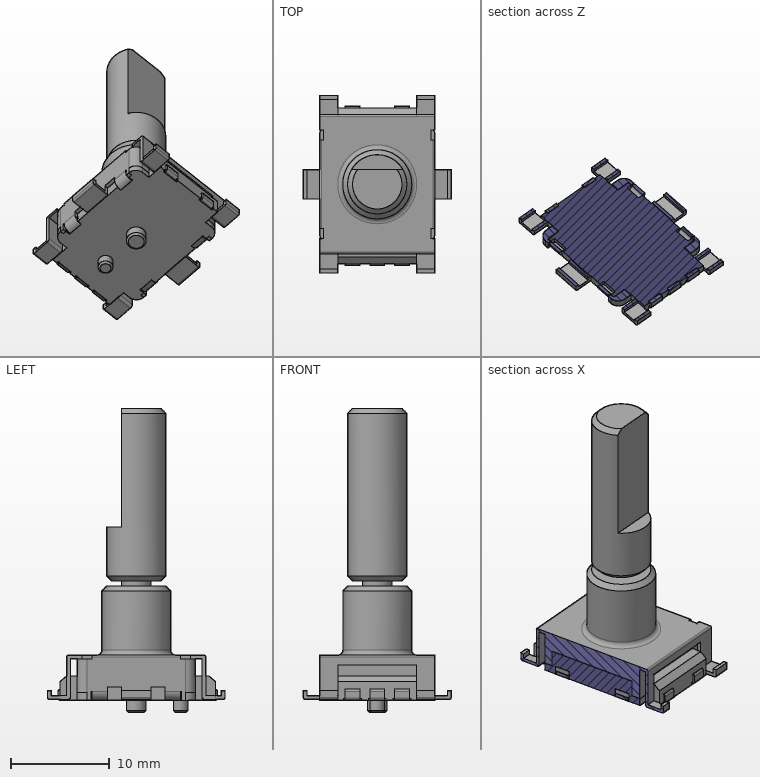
import cadquery as cq
housing_top = 4.6
bushing_top = 11.6
shaft_top = 29.6
sheet = 0.4
plate_underside = housing_top - sheet

shaft_diameter = 6.0
shaft_bottom = 12.1
shaft_chamfer = 0.5
flat_length = 12.0
flat_offset = 1.5
neck_diameter = 3.0
neck_bottom = plate_underside

housing_width = 11.7
housing_length = 14.1
half_width = housing_width / 2
half_length = housing_length / 2
fold_radius = 0.2
bend_radius = 0.3
bushing_diameter = 7.0
bushing_chamfer = 0.5
bushing_fillet = 0.5
notch_depth = sheet
notch_inner = 4.5
notch_outer = 5.5
window_width = 8.0
window_top = 3.6
foot_bottom = 0.1
foot_top = foot_bottom + sheet
tip_top = 1.0
tip_rounding = 0.2
leg_reach = 9.0
hook_reach = 7.5
hook_width = 3.0
wall_length = 10.0
slot_outer = 2.9
slot_top = 1.35
tab_outer = 4.5
tab_gap = 0.1
tab_radius = 0.9
body_length = 12.0
corner_radius = 1.0

base_thickness = 0.8
block_front = 8.05
block_back = 7.75
block_top = 2.5
block_chamfer_run = 0.7
block_chamfer_drop = 0.6
peg_bottom = -1.2
peg_chamfer = 0.2
large_peg_diameter = 2.0
small_peg_diameter = 1.5
small_peg_y = -4.5

terminal_width = 1.5
terminal_top = 1.15
terminal_protrusion = 0.18
terminal_embed = 0.2
terminal_rounding = 0.25
terminal_pitch = 2.5
terminal_notch_width = 1.8
terminal_notch_height = 0.2
front_terminal_x = (-terminal_pitch, 0, terminal_pitch)
back_terminal_x = (-terminal_pitch, terminal_pitch)


def box(x0, x1, y0, y1, z0, z1):
    """Axis-aligned block between two opposite corners."""
    return cq.Workplane("XY").box(x1 - x0, y1 - y0, z1 - z0, centered=False).translate((x0, y0, z0))


def centred_box(width, y0, y1, z0, z1):
    """Block centred on X = 0."""
    return box(-width / 2, width / 2, y0, y1, z0, z1)


def cylinder(diameter, z0, z1):
    """Upright cylinder on the Z axis."""
    return cq.Workplane("XY").workplane(offset=z0).circle(diameter / 2).extrude(z1 - z0)


def half_turn(shape):
    return shape.rotate((0, 0, 0), (0, 0, 1), 180)


def make_shaft():
    body = cylinder(shaft_diameter, shaft_bottom, shaft_top).edges().chamfer(shaft_chamfer)
    flat = centred_box(shaft_diameter, flat_offset, shaft_diameter, shaft_top - flat_length, shaft_top)
    neck = cylinder(neck_diameter, neck_bottom, shaft_bottom)
    return body.cut(flat).union(neck)


def make_folded_end():
    """End wall at -Y: two legs with outward feet and upturned tips."""
    face = -half_length
    tip_face = -leg_reach
    outline = (
        cq.Workplane("YZ")
        .moveTo(face, housing_top)
        .lineTo(face, foot_top)
        .lineTo(tip_face + sheet, foot_top)
        .lineTo(tip_face + sheet, tip_top)
        .lineTo(tip_face, tip_top)
        .lineTo(tip_face, foot_bottom + tip_rounding)
        .radiusArc((tip_face + tip_rounding, foot_bottom), -tip_rounding)
        .lineTo(face + sheet - bend_radius, foot_bottom)
        .radiusArc((face + sheet, foot_bottom + bend_radius), -bend_radius)
        .lineTo(face + sheet, housing_top)
        .close()
    )
    end = outline.extrude(half_width, both=True)
    window = centred_box(window_width, -leg_reach, 0, 0, window_top)
    return end.cut(window)


def make_hook():
    """Solder hook in the middle of the side wall at -X."""
    root = -half_width + sheet
    tip_face = -hook_reach
    outline = (
        cq.Workplane("XZ")
        .moveTo(root, foot_bottom)
        .lineTo(root, foot_top)
        .lineTo(tip_face + sheet, foot_top)
        .lineTo(tip_face + sheet, tip_top)
        .lineTo(tip_face, tip_top)
        .lineTo(tip_face, foot_bottom + tip_rounding)
        .radiusArc((tip_face + tip_rounding, foot_bottom), -tip_rounding)
        .close()
    )
    return outline.extrude(hook_width / 2, both=True)


def make_tab(side):
    """Quarter-round tab curled under the body at -X; side is +1 or -1 along Y."""
    outer = -half_width
    inner_radius = tab_radius - sheet
    tab = (
        cq.Workplane("XZ", origin=(0, tab_outer if side > 0 else -slot_outer, 0))
        .moveTo(outer, tab_radius)
        .radiusArc((outer + tab_radius, 0), -tab_radius)
        .lineTo(outer + tab_radius, sheet)
        .radiusArc((outer + sheet, tab_radius), inner_radius)
        .close()
        .extrude(tab_outer - slot_outer)
    )
    return tab


def make_side_wall():
    """Side wall at -X with its hook, relief slots and curled tabs."""
    outer = -half_width
    inner = outer + sheet
    wall = box(outer, inner, -wall_length / 2, wall_length / 2, 0, plate_underside)
    slots = box(outer, inner, -slot_outer, slot_outer, 0, slot_top)
    tab_zone = tab_outer + tab_gap
    below_tabs = box(outer, inner, -tab_zone, tab_zone, 0, tab_radius)
    tongue = box(outer, inner, -hook_width / 2, hook_width / 2, foot_bottom, slot_top)
    wall = wall.cut(slots).cut(below_tabs).union(tongue).union(make_hook())
    for side in (1, -1):
        wall = wall.union(make_tab(side))
    return wall


def make_notches():
    notches = cq.Workplane("XY")
    edge = half_width - notch_depth
    for x0 in (-half_width, edge):
        for y0 in (-notch_outer, notch_inner):
            notches = notches.add(
                box(x0, x0 + notch_depth, y0, y0 + notch_outer - notch_inner, plate_underside, housing_top)
            )
    return notches.combine()


def make_bushing():
    """Turned bushing with a chamfered rim and a fillet blending into the plate."""
    radius = bushing_diameter / 2
    return (
        cq.Workplane("XZ")
        .moveTo(0, plate_underside)
        .lineTo(radius + bushing_fillet, plate_underside)
        .lineTo(radius + bushing_fillet, housing_top)
        .radiusArc((radius, housing_top + bushing_fillet), bushing_fillet)
        .lineTo(radius, bushing_top - bushing_chamfer)
        .lineTo(radius - bushing_chamfer, bushing_top)
        .lineTo(0, bushing_top)
        .close()
        .revolve(360, (0, 0, 0), (0, 1, 0))
    )


def make_rounded_body(z0, z1):
    """Block with rounded corners, set back along both sides to clear the side walls."""
    body = centred_box(housing_width, -body_length / 2, body_length / 2, z0, z1)
    body = body.edges("|Z").fillet(corner_radius)
    recess = box(-half_width, -half_width + sheet, -wall_length / 2, wall_length / 2, z0, z1)
    return body.cut(recess).cut(half_turn(recess))


def make_plate():
    """Cover plate with bend relief notches in its side edges."""
    plate = centred_box(housing_width, -half_length, half_length, plate_underside, housing_top)
    return plate.cut(make_notches())


def make_housing(base_outline):
    """Plate, bushing, body, folded ends and side walls, hollowed to fit over the base."""
    housing = make_plate()
    end = make_folded_end()
    wall = make_side_wall()
    for piece in (end, half_turn(end), wall, half_turn(wall)):
        housing = housing.union(piece)
    for point in ((0, half_length), (0, -half_length), (half_width, 0), (-half_width, 0)):
        housing = housing.edges(cq.NearestToPointSelector((*point, housing_top))).fillet(fold_radius)
    body = make_rounded_body(base_thickness, plate_underside).cut(base_outline)
    housing = housing.union(body).union(make_bushing())
    return housing.cut(cylinder(neck_diameter, neck_bottom, bushing_top))


def make_terminal_block(reach):
    """Block at -Y that carries a row of terminals and passes through the housing window."""
    outline = (
        cq.Workplane("YZ")
        .moveTo(0, 0)
        .lineTo(-reach, 0)
        .lineTo(-reach, block_top - block_chamfer_drop)
        .lineTo(-reach + block_chamfer_run, block_top)
        .lineTo(0, block_top)
        .close()
    )
    return outline.extrude(window_width / 2, both=True)


def make_terminal(x, reach):
    """Terminal at -Y, let into the face of the block, with its outer top and bottom edges rounded."""
    half = terminal_width / 2
    outer = -reach - terminal_protrusion
    terminal = box(x - half, x + half, outer, -reach + terminal_embed, 0, terminal_top)
    return terminal.faces("<Y").edges("|X").fillet(terminal_rounding)


def make_terminal_notch(x, reach):
    """Clearance at the foot of a terminal."""
    half = terminal_notch_width / 2
    return box(x - half, x + half, -reach, -reach + terminal_embed, 0, terminal_notch_height)


def make_peg(diameter, y):
    """Locating peg under the base with a chamfered end."""
    peg = cylinder(diameter, peg_bottom, 0).faces("<Z").chamfer(peg_chamfer)
    return peg.translate((0, y, 0))


def make_base_outline():
    """Plate with a raised core inside the housing and a terminal block at each end."""
    core_half_width = half_width - sheet
    core = box(-core_half_width, core_half_width, -wall_length / 2, wall_length / 2, 0, block_top)
    base = make_rounded_body(0, base_thickness).union(core)
    base = base.union(make_terminal_block(block_front))
    return base.union(half_turn(make_terminal_block(block_back)))


def make_tab_clearance(side):
    """Pocket in the base for one curled tab at -X; side is +1 or -1 along Y."""
    y0, y1 = sorted((side * slot_outer, side * (tab_outer + tab_gap)))
    return box(-half_width, -half_width + tab_radius, y0, y1, 0, tab_radius)


def make_base(base_outline, terminals):
    base = base_outline
    for side in (1, -1):
        clearance = make_tab_clearance(side)
        base = base.cut(clearance).cut(half_turn(clearance))
    for x in front_terminal_x:
        base = base.cut(make_terminal_notch(x, block_front))
    for x in back_terminal_x:
        base = base.cut(half_turn(make_terminal_notch(x, block_back)))
    for terminal in terminals:
        base = base.cut(terminal)
    return base.union(make_peg(large_peg_diameter, 0)).union(make_peg(small_peg_diameter, small_peg_y))


terminals = [make_terminal(x, block_front) for x in front_terminal_x]
terminals += [half_turn(make_terminal(x, block_back)) for x in back_terminal_x]

base_outline = make_base_outline()

shaft = make_shaft()
housing = make_housing(base_outline)
base = make_base(base_outline, terminals)

bodies = [shaft, housing, base, *terminals]
result = cq.Compound.makeCompound([body.val() for body in bodies])